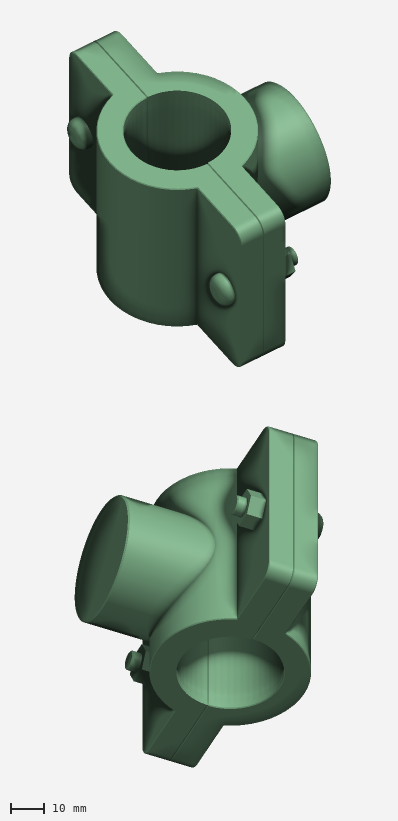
import cadquery as cq
import math

flange_width = 92.0
height = 60.0
barrel_diameter = 48.0
bore_diameter = 32.0
flange_thickness = 8.0
corner_radius = 4.5
edge_chamfer = 0.3

branch_diameter = 39.4
branch_reach = 41.95
branch_chamfer = 0.5

bolt_offset = 38.0
bolt_diameter = 6.0
bolt_end_y = 16.0
bolt_end_chamfer = 0.4
head_diameter = 10.0
head_height = 4.0
head_rounding = 2.9
nut_across_flats = 10.0
nut_height = 5.0


def along_y(start_y, x=0):
    """Workplane facing +Y at the given Y, centred on the given X."""
    return cq.Workplane("XZ", origin=(x, start_y, 0)).transformed(rotate=(180, 0, 0))


def make_half_blank():
    """Half of the clamp on the +Y side with sharp edges: flange with half a barrel, bored."""
    flange = (
        cq.Workplane("XY")
        .box(flange_width, flange_thickness, height, centered=(True, False, True))
        .edges("|Y")
        .fillet(corner_radius)
    )
    half_space = cq.Workplane("XY").box(
        flange_width, barrel_diameter, height, centered=(True, False, True)
    )
    barrel = cq.Workplane("XY").cylinder(height, barrel_diameter / 2).intersect(half_space)
    bore = cq.Workplane("XY").cylinder(height, bore_diameter / 2)
    return flange.union(barrel).cut(bore)


def make_half(sharp_bore_ends):
    """Chamfered half on the +Y side; the arcs where the bore meets the ends can stay sharp."""
    root_x = math.sqrt((barrel_diameter / 2) ** 2 - flange_thickness**2)
    root_corners = cq.selectors.BoxSelector(
        (-root_x - edge_chamfer, flange_thickness - edge_chamfer, -edge_chamfer),
        (root_x + edge_chamfer, flange_thickness + edge_chamfer, edge_chamfer),
    )
    chamfered_edges = cq.selectors.StringSyntaxSelector("not |Y") - root_corners
    if sharp_bore_ends:
        bore_ends = cq.selectors.RadiusNthSelector(1)
        chamfered_edges = chamfered_edges - bore_ends
    return make_half_blank().edges(chamfered_edges).chamfer(edge_chamfer)


def make_branch():
    """Solid round branch, rooted in the middle of the barrel wall and clear of the bore."""
    branch = (
        along_y(flange_thickness)
        .circle(branch_diameter / 2)
        .extrude(branch_reach - flange_thickness)
        .faces(">Y")
        .chamfer(branch_chamfer)
    )
    wall_middle_radius = (barrel_diameter + bore_diameter) / 4
    barrel_core = cq.Workplane("XY").cylinder(height, wall_middle_radius)
    return branch.cut(barrel_core)


def make_bolt(x):
    """Button-head bolt and its hexagon nut, corners of the nut pointing along X."""
    head = (
        along_y(-flange_thickness - head_height, x)
        .circle(head_diameter / 2)
        .extrude(head_height)
        .faces("<Y")
        .edges()
        .fillet(head_rounding)
    )
    shank = (
        along_y(-flange_thickness, x)
        .circle(bolt_diameter / 2)
        .extrude(flange_thickness + bolt_end_y)
        .faces(">Y")
        .chamfer(bolt_end_chamfer)
    )
    nut_across_corners = nut_across_flats / math.cos(math.pi / 6)
    nut = (
        along_y(flange_thickness, x)
        .polygon(6, nut_across_corners)
        .extrude(nut_height)
    )
    return head.union(shank).union(nut)


rear_half = make_half(sharp_bore_ends=True)
front_half = make_half(sharp_bore_ends=False).mirror("XZ")

result = rear_half.union(front_half).union(make_branch())
for bolt_x in (-bolt_offset, bolt_offset):
    result = result.union(make_bolt(bolt_x))